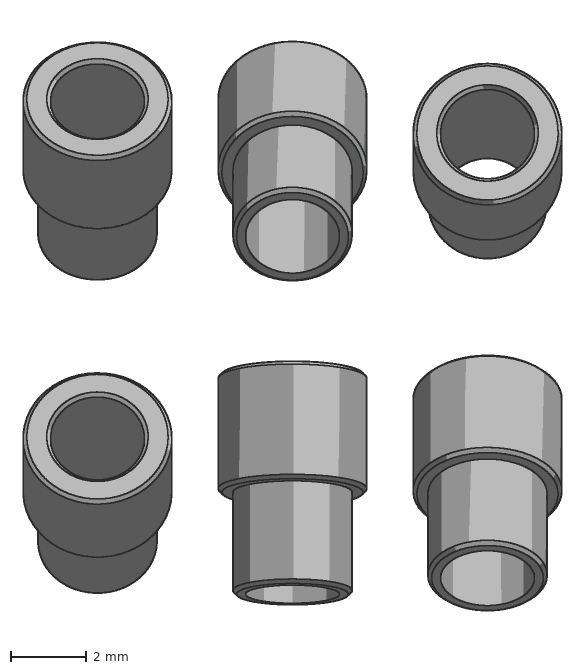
import cadquery as cq

total_height = 5.95
spigot_height = 2.76
head_diameter = 3.96
spigot_diameter = 3.18
bore_diameter = 2.5
chamfer_size = 0.1

head_height = total_height - spigot_height


def chamfered_cylinder(diameter, height, base_z, chamfered_edges):
    """Upright cylinder with the selected rim edges chamfered."""
    cylinder = cq.Workplane("XY").workplane(offset=base_z).circle(diameter / 2).extrude(height)
    return cylinder.edges(chamfered_edges).chamfer(chamfer_size)


spigot = chamfered_cylinder(spigot_diameter, spigot_height, 0, "<Z")

head = chamfered_cylinder(head_diameter, head_height, spigot_height, "<Z or >Z")

bore = cq.Workplane("XY").circle(bore_diameter / 2).extrude(total_height)
bore_mouth = (
    cq.Workplane("XY")
    .workplane(offset=total_height)
    .circle(bore_diameter / 2 + chamfer_size)
    .workplane(offset=-chamfer_size)
    .circle(bore_diameter / 2)
    .loft()
)

result = spigot.union(head).cut(bore).cut(bore_mouth)